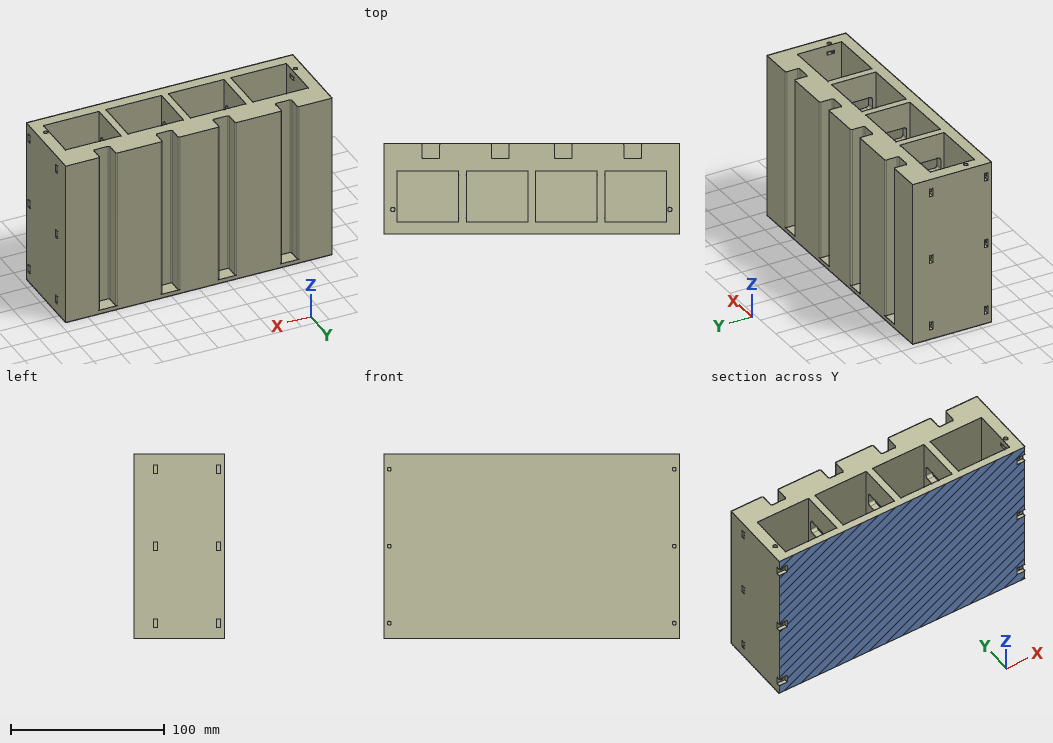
import cadquery as cq
LENGTH = 192.0
DEPTH = 59.0
HEIGHT = 120.0

POCKET_COUNT = 4
END_WALL = 8.5
DIVIDER = 5.0
FRONT_WALL = 8.0
FLOOR = 3.0
POCKET_DEPTH_Y = 33.0
POCKET_WIDTH = (LENGTH - 2 * END_WALL - (POCKET_COUNT - 1) * DIVIDER) / POCKET_COUNT
POCKET_PITCH = POCKET_WIDTH + DIVIDER
POCKET_CENTRE_Y = FRONT_WALL + POCKET_DEPTH_Y / 2

CHANNEL_WIDTH = 11.5
CHANNEL_DEPTH = 10.0
CHANNEL_SHIFT = 2.0
CHANNEL_CORNER_RADIUS = 1.0

WINDOW_WIDTH = 28.0
WINDOW_HEIGHT = 10.0
WINDOW_SILL_Z = 92.0
WINDOW_CORNER_RADIUS = 2.0

NUT_WIDTH = 5.5
NUT_THICKNESS = 2.5
SCREW_DIAMETER = 2.5
SCREW_INSET = 3.45
SCREW_END_DISTANCE = 10.0
SCREW_HEIGHTS = (SCREW_END_DISTANCE, HEIGHT / 2, HEIGHT - SCREW_END_DISTANCE)
SIDE_SLOT_CENTRES_Y = (4.0, 45.0)
SIDE_SLOT_DEPTH = SCREW_INSET + NUT_WIDTH / 2

LID_SCREW_DIAMETER = 2.8
LID_SCREW_X = 90.0
LID_SCREW_SHIFT = -0.25
LID_SCREW_Y = 16.0
LID_NUT_THICKNESS = 2.0
LID_SLOT_FLOOR_Z = 113.0
LID_SLOT_END_X = 89.0


def box(x_range, y_range, z_range):
    """Return an axis-aligned box spanning the three ranges, each given in any order."""
    spans = [(min(r), max(r)) for r in (x_range, y_range, z_range)]
    size = [high - low for low, high in spans]
    corner = [low for low, _ in spans]
    return cq.Workplane("XY").box(*size, centered=False).translate(tuple(corner))


def around(centre, size):
    """Return the range of the given size about a centre."""
    return (centre - size / 2, centre + size / 2)


pocket_centres = [(i - (POCKET_COUNT - 1) / 2) * POCKET_PITCH for i in range(POCKET_COUNT)]


def cut_channels(body):
    """Cut the back channels and round their inner corners and mouths."""
    mouth_margin = 0.1
    for pocket_x in pocket_centres:
        side = 1 if pocket_x > 0 else -1
        centre = pocket_x - side * CHANNEL_SHIFT
        channel = box(
            around(centre, CHANNEL_WIDTH),
            (DEPTH - CHANNEL_DEPTH, DEPTH),
            (FLOOR, HEIGHT),
        )
        body = body.cut(channel.edges("|Z and <Y").fillet(CHANNEL_CORNER_RADIUS))
        mouth = cq.selectors.BoxSelector(
            (centre - CHANNEL_WIDTH, DEPTH - mouth_margin, FLOOR),
            (centre + CHANNEL_WIDTH, DEPTH + mouth_margin, HEIGHT),
        )
        body = body.edges(mouth).edges("|Z").fillet(CHANNEL_CORNER_RADIUS)
    return body


def cut_pockets(body):
    """Cut the row of pockets down to the floor."""
    for x in pocket_centres:
        body = body.cut(box(
            around(x, POCKET_WIDTH),
            around(POCKET_CENTRE_Y, POCKET_DEPTH_Y),
            (FLOOR, HEIGHT),
        ))
    return body


def cut_windows(body):
    """Cut one rounded window through all the dividers."""
    window = box(
        (pocket_centres[0], pocket_centres[-1]),
        around(POCKET_CENTRE_Y, WINDOW_WIDTH),
        (WINDOW_SILL_Z, WINDOW_SILL_Z + WINDOW_HEIGHT),
    )
    return body.cut(window.edges("|X").fillet(WINDOW_CORNER_RADIUS))


def cut_side_screws(body, side):
    """Cut the front screw holes and their nut slots at one end of the block."""
    face_x = side * LENGTH / 2
    hole_x = face_x - side * SCREW_INSET
    for z in SCREW_HEIGHTS:
        hole = cq.Workplane("XZ", origin=(hole_x, 0, z)).circle(SCREW_DIAMETER / 2)
        body = body.cut(hole.extrude(-SIDE_SLOT_CENTRES_Y[-1]))
        for y in SIDE_SLOT_CENTRES_Y:
            body = body.cut(box(
                (face_x, face_x - side * SIDE_SLOT_DEPTH),
                around(y, NUT_THICKNESS),
                around(z, NUT_WIDTH),
            ))
    return body


def cut_lid_screw(body, side):
    """Cut one top screw hole and the nut slot that opens into the end pocket."""
    hole_x = side * LID_SCREW_X + LID_SCREW_SHIFT
    hole = cq.Workplane("XY", origin=(hole_x, LID_SCREW_Y, LID_SLOT_FLOOR_Z))
    body = body.cut(hole.circle(LID_SCREW_DIAMETER / 2).extrude(HEIGHT - LID_SLOT_FLOOR_Z))
    return body.cut(box(
        (side * pocket_centres[-1], side * LID_SLOT_END_X),
        around(LID_SCREW_Y, NUT_WIDTH),
        (LID_SLOT_FLOOR_Z, LID_SLOT_FLOOR_Z + LID_NUT_THICKNESS),
    ))


body = box(around(0, LENGTH), (0, DEPTH), (0, HEIGHT))
body = cut_channels(body)
body = cut_pockets(body)
body = cut_windows(body)
for side in (-1, 1):
    body = cut_side_screws(body, side)
    body = cut_lid_screw(body, side)
result = body